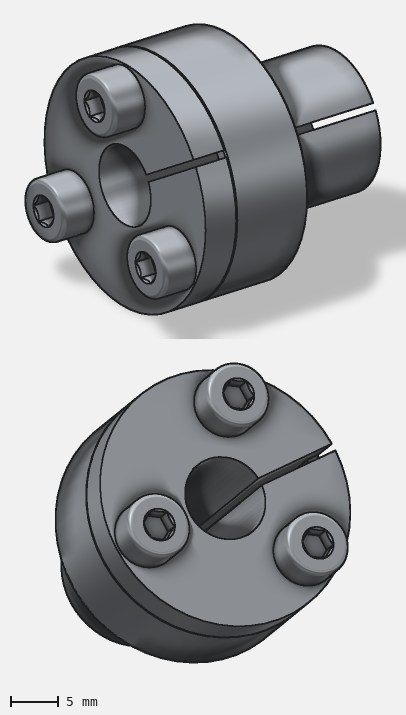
import cadquery as cq
import math

bore_diameter = 9.0
tube_diameter = 16.0
flange_diameter = 28.0

plate_thickness = 4.0
disk_thickness = 9.48
tube_length = 14.02
hub_length = plate_thickness + disk_thickness + tube_length
edge_chamfer = 0.2

slit_width = 0.8
slit_angle = 30.0
inner_slit_radius = 12.5

screw_count = 3
first_screw_angle = 90.0
bolt_circle_radius = 10.25
head_diameter = 7.0
head_height = 4.0
head_fillet = 0.5
socket_flats = 3.0
socket_depth = 2.02
countersink_diameter = 3.5
countersink_depth = (countersink_diameter - socket_flats) / 2


def cylinder(diameter, y_start, length):
    """Cylinder on the Y axis, from y_start towards +Y."""
    base = cq.Workplane("XZ", origin=(0, y_start, 0))
    return base.circle(diameter / 2).extrude(-length)


def make_slit_cutter(y_start, length, radius):
    """Radial slit from the axis out to a round end at the given radius."""
    bar = cq.Workplane("XY").box(radius, length, slit_width, centered=(False, False, True))
    bar = bar.rotate((0, 0, 0), (0, 1, 0), -slit_angle).translate((0, y_start, 0))
    return bar.intersect(cylinder(2 * radius, y_start, length))


def make_hub():
    """Flanged tube with a through bore, a V groove behind the plate and a clamping slit."""
    plate = cylinder(flange_diameter, 0, plate_thickness)
    disk = cylinder(flange_diameter, plate_thickness, disk_thickness)
    disk = disk.faces("<Y or >Y").edges().chamfer(edge_chamfer)
    tube = cylinder(tube_diameter, 0, hub_length)
    hub = plate.union(disk).union(tube)
    hub = hub.cut(cylinder(bore_diameter, 0, hub_length))

    hub = hub.cut(make_slit_cutter(0, plate_thickness, flange_diameter))
    return hub.cut(make_slit_cutter(0, hub_length, inner_slit_radius))


def make_screw_head():
    """Socket head on the Y axis, seated on the plate's front face."""
    head = cylinder(head_diameter, -head_height, head_height)
    head = head.faces("<Y").edges().fillet(head_fillet)

    socket_corners = socket_flats / math.cos(math.pi / 6)
    socket = cq.Workplane("XZ", origin=(0, -head_height, 0))
    socket = socket.polygon(6, socket_corners).extrude(-socket_depth)

    cone = cq.Solid.makeCone(
        countersink_diameter / 2,
        socket_flats / 2,
        countersink_depth,
        pnt=cq.Vector(0, -head_height, 0),
        dir=cq.Vector(0, 1, 0),
    )
    return head.cut(socket).cut(cq.Workplane(cone))


def make_screws():
    """Screw heads spaced evenly round the bolt circle."""
    screws = []
    for index in range(screw_count):
        angle = math.radians(first_screw_angle + index * 360 / screw_count)
        x = bolt_circle_radius * math.cos(angle)
        z = bolt_circle_radius * math.sin(angle)
        screws.append(make_screw_head().translate((x, 0, z)).val())
    return screws


hub = make_hub()
screws = make_screws()
result = cq.Compound.makeCompound([hub.val(), *screws])